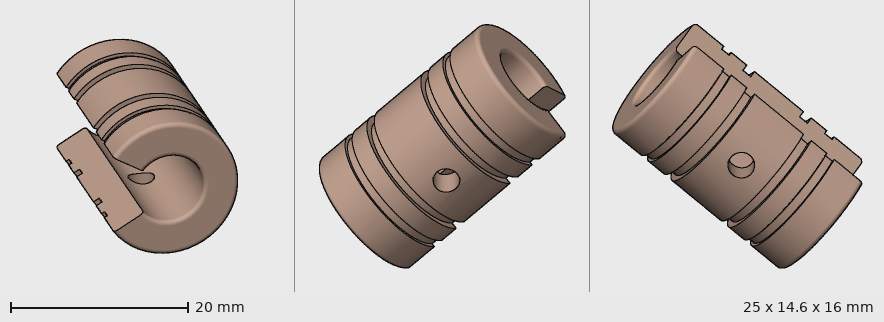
import cadquery as cq
import math

length = 25.0
outer_radius = 8.0
bore_radius = 4.0
edge_radius = 0.5

opening_angle = 60.0
outer_opening_y = -6.58

grooves = [
    (7.62, 1.1, 0.4),
    (4.2, 1.15, 0.75),
]

radial_hole_diameter = 3.0


def make_sleeve():
    """Tube with rounded outer and bore edges at both ends."""
    tube = (
        cq.Workplane("YZ")
        .circle(outer_radius)
        .circle(bore_radius)
        .extrude(length / 2, both=True)
    )
    return tube.faces("<X or >X").edges().fillet(edge_radius)


def make_groove(center_x, width, depth):
    """Ring that cuts one groove around the outside."""
    return (
        cq.Workplane("YZ", origin=(center_x - width / 2, 0, 0))
        .circle(outer_radius + depth)
        .circle(outer_radius - depth)
        .extrude(width)
    )


def make_opening():
    """Wedge that cuts the opening, its tip inside the bore."""
    slope = math.tan(math.radians(opening_angle / 2))
    outer_half_height = math.sqrt(outer_radius**2 - outer_opening_y**2)
    tip_y = outer_opening_y + outer_half_height / slope
    far_y = -2 * outer_radius
    far_half_height = (tip_y - far_y) * slope
    return (
        cq.Workplane("YZ")
        .polyline([(tip_y, 0), (far_y, far_half_height), (far_y, -far_half_height)])
        .close()
        .extrude(length, both=True)
    )


def make_radial_hole():
    """Cylinder from the axis down through the -Z wall."""
    return cq.Workplane("XY").circle(radial_hole_diameter / 2).extrude(-2 * outer_radius)


result = make_sleeve()
for distance, groove_width, groove_depth in grooves:
    for side in (-1, 1):
        result = result.cut(make_groove(side * distance, groove_width, groove_depth))
result = result.cut(make_opening()).cut(make_radial_hole())